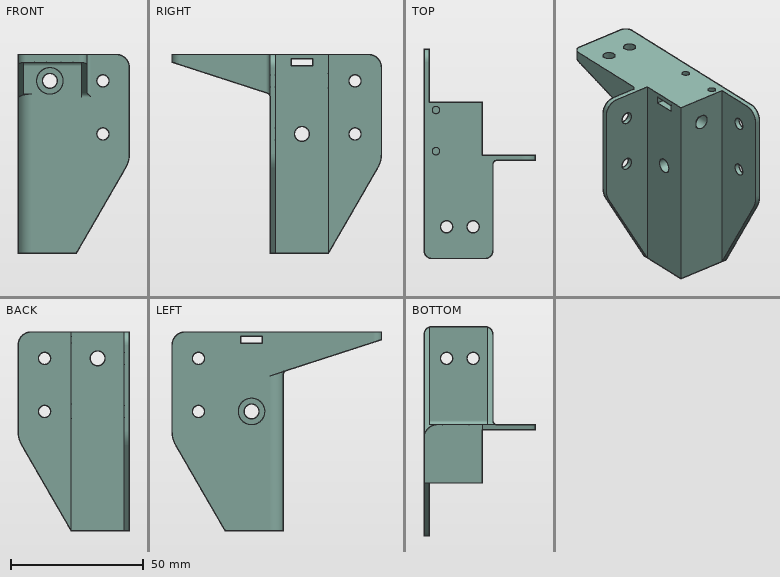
import cadquery as cq
import math


height = 75.0
column_side = 22.0
column_corner_radius = 5.0
wing_length = 42.0
wing_thickness = 2.0
wing_top_radius = 5.0
wing_taper_angle = 30.0
wing_taper_radius = 10.0

shelf_reach = 37.0
shelf_width = 26.0
shelf_thickness = 3.0
shelf_corner_radius = 3.0
gusset_thickness = 2.0
gusset_root_height = 15.0
root_fillet_radius = 1.5

mount_hole_diameter = 4.5
wing_hole_offset = 32.0
upper_hole_z = height - 10.0
lower_hole_z = height - 30.0
shelf_hole_y = 12.0 - shelf_reach
shelf_hole_xs = (8.5, 18.5)
bolt_diameter = 5.5
bolt_head_diameter = 10.0
bolt_offset = 12.0
bolt_seat_thickness = 5.0
pilot_diameter = 2.8
pilot_depth = 10.0
pilot_x = 4.5
pilot_ys = (3.5, 19.0)
slot_length = 8.0
slot_height = 2.5
slot_z = height - 3.0

shelf_underside_z = height - shelf_thickness
gusset_root_z = height - gusset_root_height
gusset_slope = (shelf_underside_z - gusset_root_z) / shelf_reach
taper_height = (wing_length - column_side) / math.tan(math.radians(wing_taper_angle))


def slope_z(y):
    """Height of the sloping gusset underside at a given y."""
    return gusset_root_z - gusset_slope * y


def cylinder(diameter, start, direction, length):
    solid = cq.Solid.makeCylinder(diameter / 2, length, cq.Vector(*start), cq.Vector(*direction))
    return cq.Workplane(solid)


def make_x_wing():
    """Tapered plate along +X, with its outer face at y = 0."""
    wing = (
        cq.Workplane("XZ")
        .polyline([(0, 0), (column_side, 0), (wing_length, taper_height), (wing_length, height), (0, height)])
        .close()
        .extrude(-wing_thickness)
    )
    wing = wing.edges("|Y and >X and >Z").fillet(wing_top_radius)
    taper_corner = cq.selectors.NearestToPointSelector((wing_length, wing_thickness / 2, taper_height))
    return wing.edges(taper_corner).fillet(wing_taper_radius)


def make_y_wing(x_wing):
    """The X wing mirrored across the x = y diagonal plane."""
    return x_wing.mirror("XZ").rotate((0, 0, 0), (0, 0, 1), 90)


def make_gusset(x_start, y_end):
    """Triangular rib that carries the shelf, from its tip back to y_end."""
    outline = [
        (-shelf_reach, height),
        (-shelf_reach, shelf_underside_z),
        (y_end, slope_z(y_end)),
        (y_end, height),
    ]
    return (
        cq.Workplane("YZ", origin=(x_start, 0, 0))
        .polyline(outline)
        .close()
        .extrude(gusset_thickness)
    )


def make_shelf():
    """Flat shelf with a concave fillet where its underside meets the column."""
    fillet_end_z = shelf_underside_z - root_fillet_radius
    return (
        cq.Workplane("YZ")
        .moveTo(0, height)
        .lineTo(-shelf_reach, height)
        .lineTo(-shelf_reach, shelf_underside_z)
        .lineTo(-root_fillet_radius, shelf_underside_z)
        .radiusArc((0, fillet_end_z), root_fillet_radius)
        .close()
        .extrude(shelf_width)
    )


def make_corner_sliver(x, radius, x_direction):
    """Full-height sliver between a sharp corner at (x, 0) and its rounding, for a body lying in y > 0."""
    return (
        cq.Workplane("XY", origin=(x, 0, 0))
        .moveTo(0, 0)
        .lineTo(x_direction * radius, 0)
        .radiusArc((0, radius), x_direction * radius)
        .close()
        .extrude(height)
    )


def round_column_corner(body):
    """Round the outer column corner, but only below the gusset slope."""
    radius = column_corner_radius
    below_slope = (
        cq.Workplane("YZ")
        .polyline([(0, 0), (radius, 0), (radius, slope_z(radius)), (0, slope_z(0))])
        .close()
        .extrude(radius)
    )
    return body.cut(make_corner_sliver(0, radius, 1).intersect(below_slope))


def round_shelf_corners(body):
    for x, x_direction in ((0, 1), (shelf_width, -1)):
        sliver = make_corner_sliver(x, shelf_corner_radius, x_direction)
        body = body.cut(sliver.translate((0, -shelf_reach, 0)))
    return body


def make_body():
    column = cq.Workplane("XY").box(column_side, column_side, height, centered=False)
    x_wing = make_x_wing()
    body = column.union(x_wing).union(make_y_wing(x_wing))

    far_gusset_x = shelf_width - gusset_thickness
    body = body.union(make_gusset(far_gusset_x, 0))
    outer_side = cq.selectors.NearestToPointSelector((shelf_width, 0, (height + gusset_root_z) / 2))
    root = cq.selectors.NearestToPointSelector((shelf_width - gusset_thickness / 2, 0, gusset_root_z))
    body = body.edges(cq.selectors.SumSelector(outer_side, root)).fillet(root_fillet_radius)

    body = body.union(make_gusset(0, column_corner_radius)).union(make_shelf())
    return round_shelf_corners(round_column_corner(body))


def cut_mount_holes(body):
    for z in (upper_hole_z, lower_hole_z):
        body = body.cut(cylinder(mount_hole_diameter, (wing_hole_offset, 0, z), (0, 1, 0), wing_thickness))
        body = body.cut(cylinder(mount_hole_diameter, (0, wing_hole_offset, z), (1, 0, 0), wing_thickness))
    for x in shelf_hole_xs:
        body = body.cut(cylinder(mount_hole_diameter, (x, shelf_hole_y, height), (0, 0, -1), shelf_thickness))
    return body


def cut_bolt_holes(body):
    """Deep counterbored holes, one through the column in each direction."""
    head_depth = column_side - bolt_seat_thickness
    bolts = (
        ((bolt_offset, 0, upper_hole_z), (0, 1, 0)),
        ((0, bolt_offset, lower_hole_z), (1, 0, 0)),
    )
    for start, direction in bolts:
        body = body.cut(cylinder(bolt_diameter, start, direction, column_side))
        body = body.cut(cylinder(bolt_head_diameter, start, direction, head_depth))
    return body


def cut_pilot_holes(body):
    for y in pilot_ys:
        body = body.cut(cylinder(pilot_diameter, (pilot_x, y, height), (0, 0, -1), pilot_depth))
    return body


def cut_slot(body):
    """Rectangular slot across the column, just below its top."""
    slot = (
        cq.Workplane("YZ", origin=(0, bolt_offset, slot_z))
        .rect(slot_length, slot_height)
        .extrude(column_side)
    )
    return body.cut(slot)


bracket = make_body()
bracket = cut_mount_holes(bracket)
bracket = cut_bolt_holes(bracket)
bracket = cut_pilot_holes(bracket)
result = cut_slot(bracket)